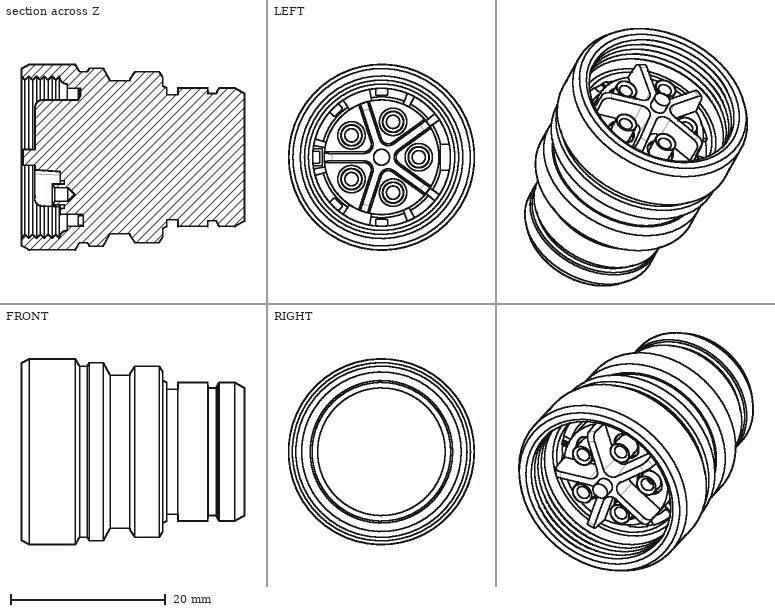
import cadquery as cq
import math


length = 28.8
mouth_face_radius = 11.45
coupling_radius = 12.0
groove_radius = 11.05
grip_radius = 11.5
waist_radius = 9.9
collar_front_radius = 10.1
collar_radius = 11.05
collar_rear_radius = 10.3
boss_radius = 9.2
neck_radius = 8.08
tail_radius = 8.95
seal_groove_radius = 8.25
seal_groove_lip_radius = 8.75
rear_face_radius = 8.24

coupling_start = 1.03
coupling_end = 6.96
groove_start = 7.5
groove_end = 8.5
grip_start = 8.75
grip_end = 10.57
waist_start = 11.45
waist_end = 14.0
collar_start = 14.64
collar_end = 17.78
collar_rear = 18.27
neck_start = 18.78
neck_end = 20.2
seal_groove_edge = 24.05
seal_groove_start = 24.1
seal_groove_end = 25.15
seal_groove_lip = 25.35
tail_start = 25.55
tail_end = 27.54

mouth_radius = 10.5
thread_crest_radius = 9.95
thread_pitch = 1.0
thread_turns = 4
thread_depth = 0.5
lead_in = 0.45
seal_start = 4.9
seal_round = 1.0

ring_face = 7.35
ring_back = 8.2
ring_outer_radius = 8.9
ring_embed = 0.3
well_depth = 0.65
notch_depth = 0.25
key_depth = 0.6
insert_radius = 7.4
well_floor_radius = 7.3
well_rim_radius = 7.8
key_angle = 0
key_width = 3.3
key_inner_radius = 7.55
tab_width = 1.55
tab_inner_radius = 7.97
tab_depth = 0.3
tab_corner = 0.2
tab_angles = [90, 134, 180, 226, 270]
upper_notches = [(36, 6.5), (64.7, 6.5), (112, 24), (167.5, 5.5)]
ring_notches = upper_notches + [(-angle, width) for angle, width in upper_notches]
latch_angle = 180
latch_span = 20
latch_width = 2.15
latch_inner_radius = 7.66
latch_depth = 0.15

pole_count = 5
pole_angle = 360 / pole_count
floor_face = 5.0
star_face = 1.75
rib_width = 0.95
rib_draft = 4.0
rib_tip_round = 0.95
hub_corner_radius = 1.18
pin_radius = 1.03
pin_tip = 0.2

contact_circle_radius = 4.8
contact_tip = 3.0
earth_contact_tip = 4.0
contact_radius = 1.37
contact_bore_radius = 0.86
contact_countersink = 0.3
contact_lip = 0.05
contact_bore_end = 6.0
contact_clearance_radius = 1.77
contact_clearance_depth = 0.5


def revolve_about_axis(points):
    """Turn an outline of (x, radius) points about the X axis."""
    return cq.Workplane("XY").polyline(points).close().revolve(360, (0, 0, 0), (1, 0, 0))


def cylinder(start, end, radius):
    """Round bar on the X axis from start to end."""
    return cq.Workplane("YZ", origin=(start, 0, 0)).circle(radius).extrude(end - start)


def turn(body, angle):
    """Rotate a body built along -Y to the given angle about the axis."""
    return body.rotate((0, 0, 0), (1, 0, 0), -angle)


def make_shell():
    """Solid outer body, turned from its banded outline."""
    return revolve_about_axis([
        (0, 0),
        (0, mouth_face_radius),
        (coupling_start, coupling_radius),
        (coupling_end, coupling_radius),
        (groove_start, groove_radius),
        (groove_end, groove_radius),
        (grip_start, grip_radius),
        (grip_end, grip_radius),
        (waist_start, waist_radius),
        (waist_end, waist_radius),
        (waist_end, collar_front_radius),
        (collar_start, collar_radius),
        (collar_end, collar_radius),
        (collar_rear, collar_rear_radius),
        (collar_rear, boss_radius),
        (neck_start, tail_radius),
        (neck_start, neck_radius),
        (neck_end, neck_radius),
        (neck_end, tail_radius),
        (seal_groove_edge, tail_radius),
        (seal_groove_start, seal_groove_radius),
        (seal_groove_end, seal_groove_radius),
        (seal_groove_lip, seal_groove_lip_radius),
        (tail_start, tail_radius),
        (tail_end, tail_radius),
        (length, rear_face_radius),
        (length, 0),
    ])


def make_bore():
    """Blind bore: lead-in, V thread, rounded seal lip and the seat of the ring."""
    thread_root_radius = thread_crest_radius + thread_depth
    seal_radius = thread_root_radius - seal_round
    seal_end = seal_start + seal_round
    outline = cq.Workplane("XY").moveTo(0, 0).lineTo(0, mouth_radius)
    outline = outline.lineTo(lead_in, thread_crest_radius)
    for turn_number in range(thread_turns):
        crest = lead_in + turn_number * thread_pitch
        outline = outline.lineTo(crest + thread_pitch / 2, thread_root_radius)
        outline = outline.lineTo(crest + thread_pitch, thread_crest_radius)
    outline = outline.lineTo(seal_start, thread_root_radius)
    outline = outline.radiusArc((seal_end, seal_radius), -seal_round)
    outline = outline.lineTo(seal_end, ring_outer_radius).lineTo(ring_back, ring_outer_radius)
    outline = outline.lineTo(ring_back, 0)
    return outline.close().revolve(360, (0, 0, 0), (1, 0, 0))


def make_sector(angle, width, start, end):
    """Wedge of the given angular width, wider than the ring, with its point on the axis."""
    half = math.radians(width / 2)
    run = -2 * ring_outer_radius * math.cos(half)
    rise = 2 * ring_outer_radius * math.sin(half)
    wedge = (
        cq.Workplane("YZ", origin=(start, 0, 0))
        .polyline([(0, 0), (run, rise), (run, -rise)])
        .close()
        .extrude(end - start)
    )
    return turn(wedge, angle)


def make_insert_well():
    """Well that tapers down to the insert, interrupted at the notches and the latch."""
    well_end = ring_face + well_depth
    well = revolve_about_axis([
        (ring_face, 0),
        (ring_face, well_rim_radius),
        (well_end, well_floor_radius),
        (well_end, 0),
    ])
    for angle, width in ring_notches + [(latch_angle, latch_span)]:
        well = well.cut(make_sector(angle, width, ring_face, well_end))
    return well


def make_rim_recess(angle, width, inner_radius, depth):
    """Straight-sided recess in the ring face, running out through the ring's rim."""
    rim_radius = ring_outer_radius + ring_embed
    block = cq.Workplane("XY").box(
        depth, rim_radius - inner_radius, width, centered=(False, False, True)
    )
    return turn(block.translate((ring_face, -rim_radius, 0)), angle)


def make_tab_recess():
    """Small recess at -Y with rounded inner corners."""
    return make_rim_recess(0, tab_width, tab_inner_radius, tab_depth).edges("|X and >Y").fillet(tab_corner)


def make_ring():
    """Castellated disc let into the shell wall, so its recesses end at the wall."""
    ring = cylinder(ring_face, ring_back + ring_embed, ring_outer_radius + ring_embed)
    ring = ring.cut(make_insert_well())
    for angle, width in ring_notches:
        ring = ring.cut(make_sector(angle, width, ring_face, ring_face + notch_depth))
    ring = ring.cut(make_rim_recess(key_angle, key_width, key_inner_radius, key_depth))
    ring = ring.cut(make_rim_recess(latch_angle, latch_width, latch_inner_radius, latch_depth))
    tab_recess = make_tab_recess()
    for angle in tab_angles:
        ring = ring.cut(turn(tab_recess, angle))
    return ring


def make_pocket():
    """Drafted pocket around the -Y contact, between two ribs, with a rounded hub corner."""
    half_sector = math.radians(pole_angle / 2)
    apex = -rib_width / 2 / math.sin(half_sector)
    reach = 2 * insert_radius
    spread = reach * math.tan(half_sector)
    return (
        cq.Workplane("YZ", origin=(star_face, 0, 0))
        .sketch()
        .polygon([(apex, 0), (apex - reach, spread), (apex - reach, -spread), (apex, 0)])
        .vertices(">X")
        .fillet(hub_corner_radius)
        .finalize()
        .extrude(floor_face - star_face, taper=rib_draft)
    )


def make_star():
    """Five ribs with rounded tips meeting at the hub, and the centre pin."""
    star = cylinder(star_face, ring_back, insert_radius).faces("<X").edges().fillet(rib_tip_round)
    pocket = make_pocket()
    for pole in range(pole_count):
        star = star.cut(turn(pocket, pole * pole_angle))
    return star.union(cylinder(pin_tip, floor_face, pin_radius))


def make_contact_recess():
    """Clearance recess in the pocket floor around the -Y contact."""
    recess = cylinder(floor_face, floor_face + contact_clearance_depth, contact_clearance_radius)
    return recess.translate((0, -contact_circle_radius, 0))


def make_contact(tip):
    """Contact tube at -Y and the countersunk, cone-ended bore to cut from it."""
    tube = cylinder(tip, floor_face + contact_clearance_depth, contact_radius)
    bore = revolve_about_axis([
        (tip, 0),
        (tip, contact_radius - contact_lip),
        (tip + contact_countersink, contact_bore_radius),
        (contact_bore_end, contact_bore_radius),
        (contact_bore_end + contact_bore_radius, 0),
    ])
    return [body.translate((0, -contact_circle_radius, 0)) for body in (tube, bore)]


result = make_shell().cut(make_bore()).union(make_ring()).union(make_star())
for pole in range(pole_count):
    angle = pole * pole_angle
    tube, bore = make_contact(earth_contact_tip if pole == 0 else contact_tip)
    result = result.cut(turn(make_contact_recess(), angle))
    result = result.union(turn(tube, angle)).cut(turn(bore, angle))